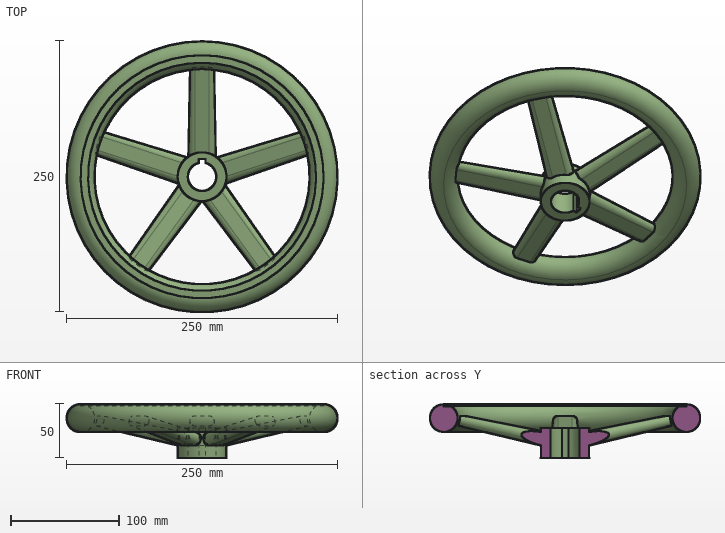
import cadquery as cq
import math

wheel_diameter = 250.0
total_height = 50.0

rim_section_radius = 13.0
rim_ledge_depth = 2.0
rim_center_radius = wheel_diameter / 2 - rim_section_radius
rim_center_z = total_height - rim_section_radius

hub_diameter = 45.0
hub_height = 28.0
bore_diameter = 26.0
keyway_width = 6.0
keyway_reach = 16.2

spoke_count = 5
first_spoke_angle = 90.0
spoke_flat_width = 13.0
spoke_root_overlap = 3.0
spoke_root_center_radius = hub_diameter / 2 - spoke_root_overlap
spoke_root_center_z = 17.7
spoke_root_thickness = 12.6
spoke_tip_thickness = 9.0


def make_rim():
    """Ring revolved about Z, starting on the YZ plane."""
    ledge_rise = rim_section_radius - rim_ledge_depth
    ledge_z = rim_center_z + ledge_rise
    ledge_inner_radius = rim_center_radius - math.sqrt(rim_section_radius**2 - ledge_rise**2)
    profile = (
        cq.Workplane("YZ")
        .moveTo(rim_center_radius, ledge_z)
        .lineTo(rim_center_radius, total_height)
        .threePointArc(
            (rim_center_radius + rim_section_radius, rim_center_z),
            (rim_center_radius, rim_center_z - rim_section_radius),
        )
        .threePointArc(
            (rim_center_radius - rim_section_radius, rim_center_z),
            (ledge_inner_radius, ledge_z),
        )
        .close()
    )
    return profile.revolve(360, (0, 0, 0), (0, 1, 0))


def make_spoke():
    """Spoke along +X, lofted from inside the hub to the middle of the rim section."""
    run = rim_center_radius - spoke_root_center_radius
    rise = rim_center_z - spoke_root_center_z
    root_plane = cq.Plane(
        origin=(spoke_root_center_radius, 0, spoke_root_center_z),
        xDir=(0, 1, 0),
        normal=(run, 0, rise),
    )
    return (
        cq.Workplane(root_plane)
        .slot2D(spoke_flat_width + spoke_root_thickness, spoke_root_thickness)
        .workplane(offset=math.hypot(run, rise))
        .slot2D(spoke_flat_width + spoke_tip_thickness, spoke_tip_thickness)
        .loft(ruled=True)
    )


def make_hub():
    """Plain cylinder on Z = 0."""
    return cq.Workplane("XY").circle(hub_diameter / 2).extrude(hub_height)


def make_bore():
    """Through bore with a keyway on its +Y side."""
    bore = cq.Workplane("XY").circle(bore_diameter / 2).extrude(hub_height)
    keyway = cq.Workplane("XY").box(
        keyway_width, keyway_reach, hub_height, centered=(True, False, False)
    )
    return bore.union(keyway)


wheel = make_rim().union(make_hub())
spoke = make_spoke()
for index in range(spoke_count):
    angle = first_spoke_angle + index * 360.0 / spoke_count
    wheel = wheel.union(spoke.rotate((0, 0, 0), (0, 0, 1), angle))

result = wheel.cut(make_bore())